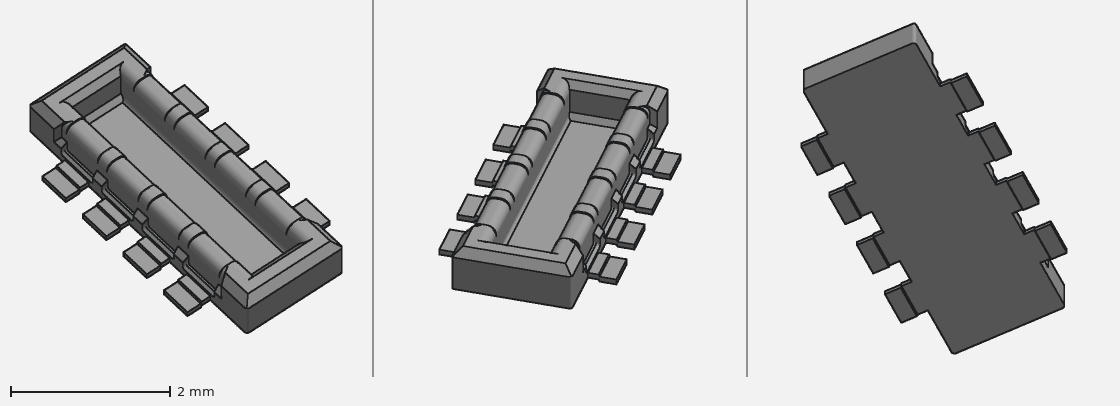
import cadquery as cq
import math

LENGTH = 4.3
WIDTH = 1.58
TOP_Z = 0.63
BASE_Z = 0.03
TOP_CHAMFER = 0.115
CORNER_RADIUS = 0.045

WALL_OUTER_Y = 0.705
WALL_INNER_Y = 0.39
OUTER_ROUND = 0.115
INNER_ROUND = 0.13

CAVITY_HALF_LENGTH = 1.86
END_BEVEL_RUN = 0.1
END_BEVEL_DROP = 0.09
END_WALL_DRAFT = 0.01
FLOOR_Z = 0.13
FLOOR_HALF_LENGTH = 1.675
FLOOR_END_RISE = 0.077
FLOOR_FILLET = 0.065
FLOOR_FILLET_RUN = 0.04

RECESS_HALF_LENGTH = 1.65
RECESS_END_TAPER = 0.6
SHELF_INNER_Z = 0.34
SHELF_OUTER_Z = 0.262

PITCH = 0.8
CONTACT_COUNT = 4
CONTACT_WIDTH = 0.615
CONTACT_DROP = 0.02

POCKET_INNER_WIDTH = 0.59
POCKET_OUTER_WIDTH = 0.62
POCKET_LEDGE = 0.035
POCKET_INNER_Z = 0.18
POCKET_OUTER_Z = 0.145
POCKET_RADIUS = 0.035

LEAD_WIDTH = 0.465
LEAD_TIP_Y = 1.16
LEAD_STEP_Y = 0.93
LEAD_STEP_RUN = 0.015
LEAD_THICKNESS = 0.077

OVERCUT = 0.045
HALF_WIDTH = WIDTH / 2
CUT_TOP_Z = TOP_Z + OVERCUT
CUT_OUTER_Y = HALF_WIDTH + OVERCUT
CONTACT_XS = [(i - (CONTACT_COUNT - 1) / 2) * PITCH for i in range(CONTACT_COUNT)]


def both_sides(shape):
    """Join a -Y side shape with its mirror image on the +Y side."""
    return shape.union(shape.mirror("XZ"))


def extrude_along_x(profile, length, center_x=0.0):
    """Extrude a closed YZ profile symmetrically about the plane x = center_x."""
    return profile.extrude(length / 2, both=True).translate((center_x, 0, 0))


def make_block():
    height = TOP_Z - BASE_Z
    bevelled = cq.Workplane("XY").box(LENGTH, WIDTH, height, centered=(True, True, False))
    bevelled = bevelled.faces(">Z").chamfer(TOP_CHAMFER)
    rounded = cq.Workplane("XY").box(LENGTH, WIDTH, height, centered=(True, True, False))
    rounded = rounded.edges("|Z").fillet(CORNER_RADIUS)
    return bevelled.intersect(rounded).translate((0, 0, BASE_Z))


def make_cavity():
    wall_top_x = CAVITY_HALF_LENGTH - END_BEVEL_RUN
    wall_foot_x = wall_top_x - END_WALL_DRAFT
    length_section = (
        cq.Workplane("XZ")
        .moveTo(0, FLOOR_Z)
        .lineTo(FLOOR_HALF_LENGTH, FLOOR_Z)
        .lineTo(wall_foot_x, FLOOR_Z + FLOOR_END_RISE)
        .lineTo(wall_top_x, TOP_Z - END_BEVEL_DROP)
        .lineTo(CAVITY_HALF_LENGTH, TOP_Z)
        .lineTo(0, TOP_Z)
        .mirrorY()
        .extrude(HALF_WIDTH, both=True)
    )
    fillet_rise = math.sqrt(FLOOR_FILLET**2 - (FLOOR_FILLET - FLOOR_FILLET_RUN) ** 2)
    cross_section = (
        cq.Workplane("YZ")
        .moveTo(0, FLOOR_Z)
        .lineTo(WALL_INNER_Y - FLOOR_FILLET_RUN, FLOOR_Z)
        .radiusArc((WALL_INNER_Y, FLOOR_Z + fillet_rise), -FLOOR_FILLET)
        .lineTo(WALL_INNER_Y, TOP_Z - INNER_ROUND)
        .radiusArc((WALL_INNER_Y + INNER_ROUND, TOP_Z), INNER_ROUND)
        .lineTo(0, TOP_Z)
        .mirrorY()
    )
    return length_section.intersect(extrude_along_x(cross_section, LENGTH))


def make_recess():
    """Cutter that leaves the rounded outer face of the wall above a sloping shelf."""
    flat_y = -WALL_OUTER_Y + OUTER_ROUND
    shelf_slope = (SHELF_INNER_Z - SHELF_OUTER_Z) / (HALF_WIDTH - WALL_OUTER_Y)
    section = (
        cq.Workplane("YZ")
        .moveTo(-CUT_OUTER_Y, SHELF_OUTER_Z - shelf_slope * OVERCUT)
        .lineTo(-WALL_OUTER_Y, SHELF_INNER_Z)
        .lineTo(-WALL_OUTER_Y, TOP_Z - OUTER_ROUND)
        .radiusArc((flat_y, TOP_Z), OUTER_ROUND)
        .lineTo(flat_y, CUT_TOP_Z)
        .lineTo(-CUT_OUTER_Y, CUT_TOP_Z)
        .close()
    )
    inner_x = RECESS_HALF_LENGTH - RECESS_END_TAPER * HALF_WIDTH
    outer_x = RECESS_HALF_LENGTH + RECESS_END_TAPER * OVERCUT
    plan = (
        cq.Workplane("XY")
        .polyline([(-inner_x, 0), (inner_x, 0), (outer_x, -CUT_OUTER_Y), (-outer_x, -CUT_OUTER_Y)])
        .close()
        .extrude(CUT_TOP_Z)
    )
    return extrude_along_x(section, LENGTH).intersect(plan)


def make_contact_groove(center_x):
    """Cutter that lowers the rounded crown of one wall over a contact."""
    crown_z = TOP_Z - CONTACT_DROP
    section = (
        cq.Workplane("YZ")
        .moveTo(-WALL_OUTER_Y, crown_z - OUTER_ROUND)
        .radiusArc((-WALL_OUTER_Y + OUTER_ROUND, crown_z), OUTER_ROUND)
        .lineTo(-WALL_INNER_Y - INNER_ROUND, crown_z)
        .radiusArc((-WALL_INNER_Y, crown_z - INNER_ROUND), INNER_ROUND)
        .lineTo(-WALL_INNER_Y, CUT_TOP_Z)
        .lineTo(-WALL_OUTER_Y, CUT_TOP_Z)
        .close()
    )
    return extrude_along_x(section, CONTACT_WIDTH, center_x)


def make_pocket(center_x):
    """Cutter flaring outwards, with a level ledge at the wall and then a falling floor."""
    ledge_y = -WALL_OUTER_Y - POCKET_LEDGE
    section = (
        cq.Workplane("YZ")
        .moveTo(-WALL_OUTER_Y, SHELF_INNER_Z)
        .lineTo(-WALL_OUTER_Y, POCKET_INNER_Z)
        .lineTo(ledge_y, POCKET_INNER_Z)
        .lineTo(-HALF_WIDTH, POCKET_OUTER_Z)
        .lineTo(-HALF_WIDTH, SHELF_INNER_Z)
        .close()
    )
    inner_x = POCKET_INNER_WIDTH / 2
    outer_x = POCKET_OUTER_WIDTH / 2
    plan = (
        cq.Workplane("XY")
        .moveTo(-inner_x, -WALL_OUTER_Y)
        .lineTo(inner_x, -WALL_OUTER_Y)
        .lineTo(outer_x, -HALF_WIDTH)
        .lineTo(-outer_x, -HALF_WIDTH)
        .close()
        .extrude(TOP_Z)
    )
    pocket = extrude_along_x(section, PITCH).intersect(plan)
    pocket = pocket.edges("not(|X or |Z or >Z)").fillet(POCKET_RADIUS)
    return pocket.translate((center_x, 0, 0))


def make_lead(center_x):
    """Flat strip from inside the housing wall, cranked down to its foot."""
    top_z = BASE_Z + LEAD_THICKNESS
    profile = (
        cq.Workplane("YZ")
        .moveTo(-WALL_OUTER_Y, BASE_Z)
        .lineTo(-LEAD_STEP_Y, BASE_Z)
        .lineTo(-LEAD_STEP_Y - LEAD_STEP_RUN, 0)
        .lineTo(-LEAD_TIP_Y, 0)
        .lineTo(-LEAD_TIP_Y, LEAD_THICKNESS)
        .lineTo(-LEAD_STEP_Y - LEAD_STEP_RUN, LEAD_THICKNESS)
        .lineTo(-LEAD_STEP_Y, top_z)
        .lineTo(-WALL_OUTER_Y, top_z)
        .close()
    )
    return extrude_along_x(profile, LEAD_WIDTH, center_x)


result = make_block().cut(make_cavity()).cut(both_sides(make_recess()))
for contact_x in CONTACT_XS:
    result = result.cut(both_sides(make_contact_groove(contact_x)))
    result = result.cut(both_sides(make_pocket(contact_x)))
    result = result.union(both_sides(make_lead(contact_x)))